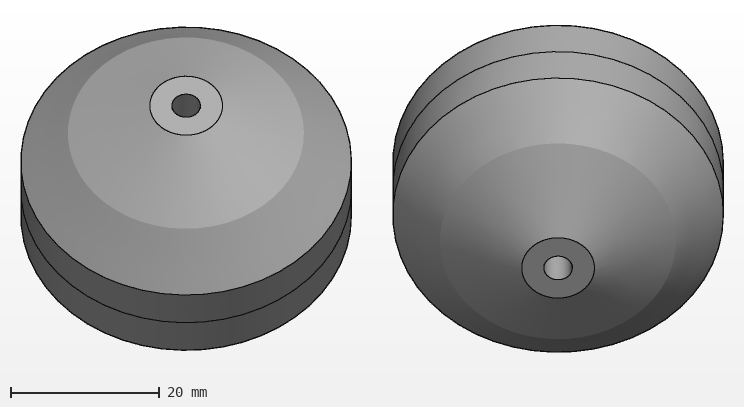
import cadquery as cq

outer_diameter = 44.45
shoulder_diameter = 31.75
end_diameter = 9.8
bore_diameter = 3.82
overall_height = 38.1

half_height = overall_height / 2
layer_height = half_height / 3


def make_half(direction):
    """Half of the body, from the parting plane at Z = 0 up (direction 1) or down (direction -1)."""
    bore_radius = bore_diameter / 2
    outer_radius = outer_diameter / 2
    profile = (
        cq.Workplane("XZ")
        .moveTo(bore_radius, 0)
        .lineTo(outer_radius, 0)
        .lineTo(outer_radius, direction * layer_height)
        .lineTo(shoulder_diameter / 2, direction * 2 * layer_height)
        .lineTo(end_diameter / 2, direction * half_height)
        .lineTo(bore_radius, direction * half_height)
        .close()
    )
    return profile.revolve(360, (0, 0, 0), (0, 1, 0))


upper_half = make_half(1)
lower_half = make_half(-1)

result = cq.Compound.makeCompound([upper_half.val(), lower_half.val()])